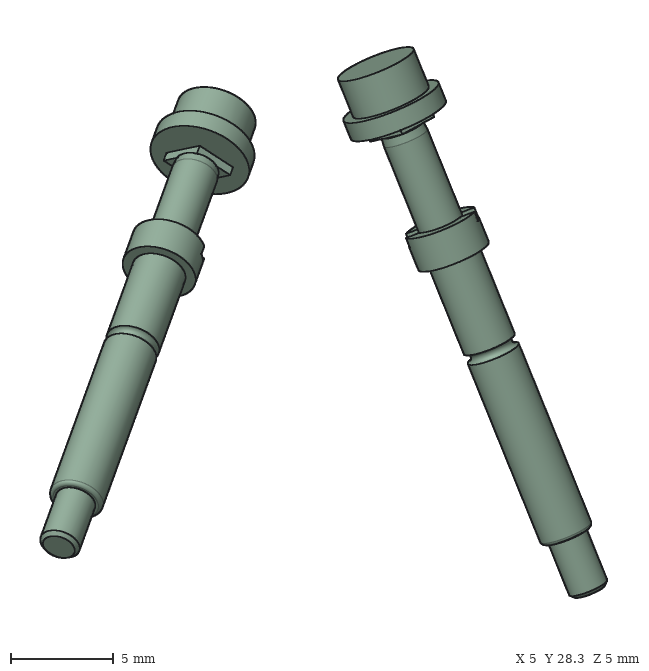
import cadquery as cq

total_length = 28.3

tip_length = 3.0
body_length = 15.0
collar_length = 1.78
shaft_length = 4.58
neck_length = 0.42
rhombus_length = 0.5
flange_length = 1.0

tip_diameter = 2.0
body_diameter = 2.7
collar_diameter = 3.7
shaft_diameter = 2.3
neck_diameter = 2.2
flange_diameter = 5.0
head_diameter = 4.0

rhombus_width = 3.37
rhombus_height = neck_diameter

tip_chamfer = 0.2
body_fillet = 0.2
groove_radius = 0.25
groove_to_collar = 4.98
slot_width = 0.93
slot_depth = 0.5

body_start = tip_length
collar_start = body_start + body_length
shaft_start = collar_start + collar_length
neck_start = shaft_start + shaft_length
rhombus_start = neck_start + neck_length
flange_start = rhombus_start + rhombus_length
head_start = flange_start + flange_length
groove_center = collar_start - groove_to_collar


def extrude_along_y(profile, start, length):
    """Extrude a sketch drawn on the XZ plane from start towards +Y."""
    return profile.extrude(-length).translate((0, start, 0))


def cylinder(diameter, start, end):
    return extrude_along_y(cq.Workplane("XZ").circle(diameter / 2), start, end - start)


def make_tip():
    tip = cylinder(tip_diameter, 0, body_start)
    return tip.faces("<Y").chamfer(tip_chamfer)


def make_body():
    """Barrel with a rounded end and a half-round groove."""
    radius = body_diameter / 2
    profile = (
        cq.Workplane("XY")
        .moveTo(0, body_start)
        .lineTo(radius - body_fillet, body_start)
        .radiusArc((radius, body_start + body_fillet), -body_fillet)
        .lineTo(radius, groove_center - groove_radius)
        .threePointArc((radius - groove_radius, groove_center), (radius, groove_center + groove_radius))
        .lineTo(radius, collar_start)
        .lineTo(0, collar_start)
        .close()
    )
    return profile.revolve(360, (0, 0, 0), (0, 1, 0))


def make_collar():
    """Collar with a slot cut across its head-side face."""
    collar = cylinder(collar_diameter, collar_start, shaft_start)
    slot_profile = cq.Workplane("XZ").rect(collar_diameter, slot_width)
    slot = extrude_along_y(slot_profile, shaft_start - slot_depth, slot_depth)
    return collar.cut(slot)


def make_shaft():
    """Plunger shaft, starting inside the collar and tapering to the neck."""
    shaft = cylinder(shaft_diameter, collar_start, neck_start)
    taper = (
        shaft.faces(">Y")
        .workplane()
        .circle(shaft_diameter / 2)
        .workplane(offset=neck_length)
        .circle(neck_diameter / 2)
        .loft(combine=False)
    )
    return shaft.union(taper)


def make_rhombus():
    profile = (
        cq.Workplane("XZ")
        .moveTo(rhombus_width / 2, 0)
        .lineTo(0, rhombus_height / 2)
        .lineTo(-rhombus_width / 2, 0)
        .lineTo(0, -rhombus_height / 2)
        .close()
    )
    return extrude_along_y(profile, rhombus_start, rhombus_length)


def make_head():
    flange = cylinder(flange_diameter, flange_start, head_start)
    return flange.union(cylinder(head_diameter, head_start, total_length))


result = (
    make_tip()
    .union(make_body())
    .union(make_collar())
    .union(make_shaft())
    .union(make_rhombus())
    .union(make_head())
)